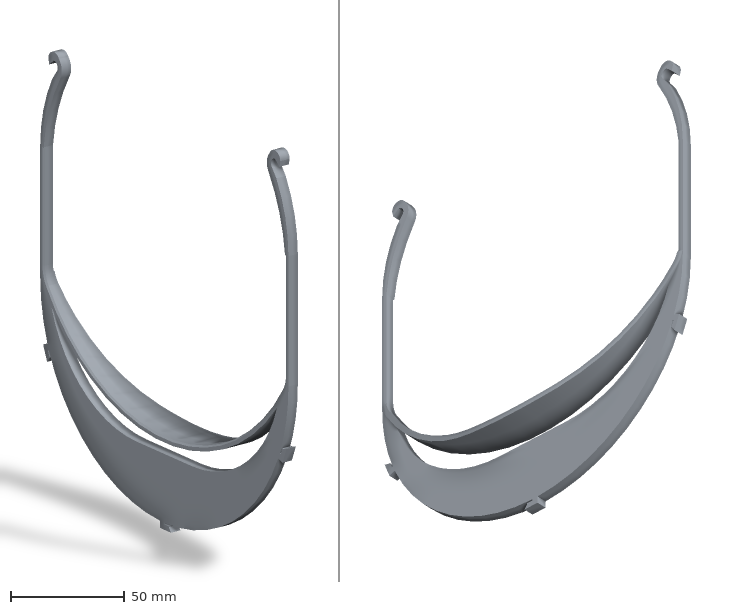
import cadquery as cq
import math

half_width = 90.04
plate_depth = 5.2
arm_height = 61.3
arm_width = 2.52
inner_half_width = half_width - arm_width

brow_radius = 100.8
brow_bottom = -49.8
brow_center = brow_bottom + brow_radius
brow_thickness = 2.6
brow_corner_radius = 16.1
edge_bevel = 0.8
bevel_angle = 45

slot_radius = 64.5
slot_flat = 40.3
slot_bottom = -57.7

shield_height = 20.5
shield_slope = 0.2
shield_top = 2.0

margin = 2.0

clip_bottom = -93.4
clip_left = -3.0
clip_stem_right = 0.0
clip_foot_right = 4.8
clip_notch_right = 3.2
clip_notch_z = -91.1
clip_gap_z = -90.7
clip_root_z = -88.7
clip_angle = 68.4


def front_plane():
    """XZ sketch plane on the front face; a negative extrusion runs toward +Y."""
    return cq.Workplane("XZ")


def disc(center_z, radius, depth):
    return front_plane().center(0, center_z).circle(radius).extrude(-depth)


def inner_opening(growth, depth):
    """Space between the arms and above the brow, grown outward evenly."""
    column_half = inner_half_width + growth
    column_low = brow_bottom - growth - margin
    column = (
        front_plane()
        .center(0, (arm_height + column_low) / 2)
        .rect(2 * column_half, arm_height - column_low)
        .extrude(-depth)
    )
    opening = column.intersect(disc(brow_center, brow_radius + growth, depth))
    corner_z = brow_center - math.sqrt((brow_radius + growth) ** 2 - column_half**2)
    selector = cq.selectors.BoxSelector(
        (-column_half - margin, -margin, corner_z - margin),
        (column_half + margin, depth + margin, corner_z + margin),
    )
    return opening.edges("|Y").edges(selector).fillet(brow_corner_radius + growth)


def make_plate():
    plate = (
        front_plane()
        .moveTo(-half_width, arm_height)
        .lineTo(-half_width, 0)
        .threePointArc((0, -half_width), (half_width, 0))
        .lineTo(half_width, arm_height)
        .close()
        .extrude(-plate_depth)
    )
    slot = (
        front_plane()
        .center(0, slot_bottom + slot_radius)
        .slot2D(slot_flat + 2 * slot_radius, 2 * slot_radius)
        .extrude(-plate_depth)
        .cut(disc(brow_center, brow_radius + brow_thickness, plate_depth))
    )
    return plate.cut(inner_opening(0, plate_depth)).cut(slot)


def make_bevel():
    """Cutter for the 45 degree bevel along the front inner edge."""
    mouth = inner_opening(edge_bevel, plate_depth).faces("<Y").wires().toPending().workplane()
    return mouth.extrude(-edge_bevel, taper=bevel_angle, combine=False)


def make_shield():
    band = inner_opening(brow_thickness, shield_height).cut(inner_opening(0, shield_height))
    slope_angle = math.atan(shield_slope)
    apex = plate_depth + shield_slope * half_width
    crown_radius = (apex - shield_height) / (1 / math.cos(slope_angle) - 1)
    tangent_x = crown_radius * math.sin(slope_angle)
    tangent_y = apex - shield_slope * tangent_x
    base_z = brow_bottom - brow_thickness - margin
    envelope = (
        cq.Workplane("XY", origin=(0, 0, base_z))
        .moveTo(-half_width, 0)
        .lineTo(-half_width, plate_depth)
        .lineTo(-tangent_x, tangent_y)
        .threePointArc((0, shield_height), (tangent_x, tangent_y))
        .lineTo(half_width, plate_depth)
        .lineTo(half_width, 0)
        .close()
        .extrude(shield_top - base_z)
    )
    return band.intersect(envelope)


def make_left_hook():
    """Inward-leaning arm end that curls back outward at the tip."""
    return (
        front_plane()
        .moveTo(-half_width, arm_height)
        .threePointArc((-88.1, 77.5), (-81.3, 95.4))
        .lineTo(-78.5, 99.2)
        .threePointArc((-78.0, 103.2), (-80.3, 104.3))
        .lineTo(-83.5, 101.5)
        .lineTo(-84.0, 104.3)
        .threePointArc((-79.9, 108.3), (-76.5, 106.0))
        .threePointArc((-74.5, 101.5), (-75.6, 96.8))
        .threePointArc((-83.7, 79.2), (-inner_half_width, arm_height))
        .close()
        .extrude(-plate_depth)
    )


def make_clip(angle):
    """L-shaped clip at the bottom of the rim, turned about the plate centre."""
    clip = (
        front_plane()
        .moveTo(clip_left, clip_root_z)
        .lineTo(clip_left, clip_bottom)
        .lineTo(clip_foot_right, clip_bottom)
        .lineTo(clip_notch_right, clip_notch_z)
        .lineTo(clip_notch_right, clip_gap_z)
        .lineTo(clip_stem_right, clip_gap_z)
        .lineTo(clip_stem_right, clip_root_z)
        .close()
        .extrude(-plate_depth)
    )
    return clip.rotate((0, 0, 0), (0, -1, 0), angle)


result = make_plate().union(make_shield()).cut(make_bevel())
left_hook = make_left_hook()
result = result.union(left_hook).union(left_hook.mirror("YZ"))
for angle in (-clip_angle, 0, clip_angle):
    result = result.union(make_clip(angle))